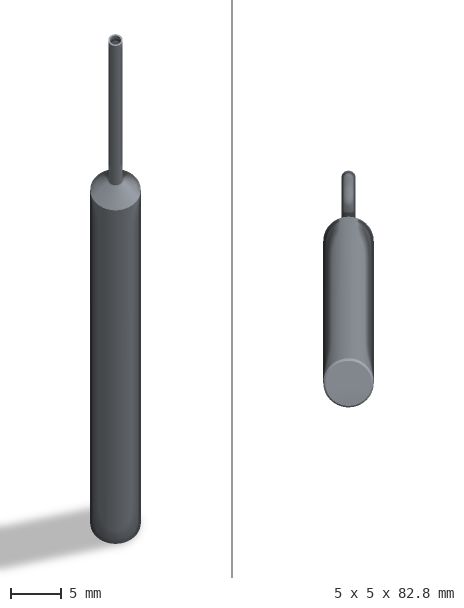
import cadquery as cq

total_length = 82.75
handle_diameter = 5.0
pin_diameter = 1.4
handle_length = 57.2
bottom_chamfer = 0.2
tip_hole_diameter = 1.1
tip_hole_depth = 0.8

handle_radius = handle_diameter / 2
pin_radius = pin_diameter / 2
tip_hole_radius = tip_hole_diameter / 2
shoulder_top = handle_length + handle_radius - pin_radius

half_section = (
    cq.Workplane("XZ")
    .moveTo(0, 0)
    .lineTo(handle_radius - bottom_chamfer, 0)
    .lineTo(handle_radius, bottom_chamfer)
    .lineTo(handle_radius, handle_length)
    .lineTo(pin_radius, shoulder_top)
    .lineTo(pin_radius, total_length)
    .lineTo(tip_hole_radius, total_length)
    .lineTo(tip_hole_radius, total_length - tip_hole_depth)
    .lineTo(0, total_length - tip_hole_depth)
    .close()
)

result = half_section.revolve(360, (0, 0, 0), (0, 1, 0))
result = result.translate((0, 0, -total_length / 2))